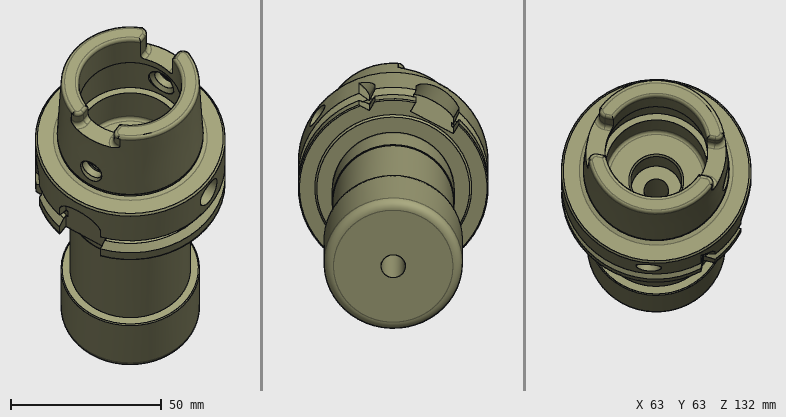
import cadquery as cq
import math

total_height = 132.0
nut_height = 25.0
neck_bottom_z = 61.0
boss_bottom_z = 73.4
flange_bottom_z = 74.0
gripper_bottom_z = 78.4
gripper_top_z = 85.3
flange_top_z = 100.0
taper_bottom_z = 101.6

nut_radius = 23.0
shank_radius = 40.0 / 2
neck_radius = 40.5 / 2
boss_radius = 26.0
flange_radius = 63.0 / 2
gripper_flank_radius = 28.9
gripper_floor_radius = 55.0 / 2
relief_radius = 24.0
relief_groove_radius = 25.5
taper_large_radius = 48.5 / 2
taper_small_radius = 45.8 / 2
through_radius = 8.0 / 2

step_chamfer = neck_radius - shank_radius
neck_top_chamfer = 1.2
boss_chamfer = 0.7
flange_top_chamfer = 0.7
flange_bottom_chamfer = 0.4
gripper_flank_height = 1.7
gripper_corner_height = 0.3
relief_chamfer = 0.4
relief_foot_height = 0.4
nut_top_chamfer = 0.4
nut_bottom_fillet = 3.2
rim_fillet = 1.2

cavity_radius = 17.0
cavity_floor_z = 87.1
cavity_floor_fillet = 1.2
clamp_groove_radius = 38.4 / 2
clamp_groove_top_z = 119.0
clamp_groove_bottom_z = 101.6
clamp_face_angle = 60.0
tube_bore_radius = 8.5
tube_bore_depth = 13.2
tube_bore_chamfer = 0.7

notch_width = 12.5
front_notch_depth = 6.1
back_notch_depth = 10.0
notch_corner_radius = 2.4
notch_floor_fillet = 1.6

cross_hole_diameter = 7.5
cross_hole_sink_diameter = 9.1
cross_hole_inner_diameter = 10.0
cross_hole_z = 109.0

keyway_width = 16.2
keyway_arc_radius = 8.5
keyway_top_z = 95.0
keyway_floor_y = 26.5
corner_notch_top_z = 96.1
corner_notch_wall = 20.2
side_hole_z = 93.0
side_hole_angle = 187.3
side_hole_diameter = 8.5
side_hole_depth = 6.0
carrier_hole_diameter = 10.0
carrier_hole_depth = 4.6

corner_x = notch_width / 2 + notch_corner_radius
corner_y = math.sqrt((taper_small_radius - notch_corner_radius) ** 2 - corner_x ** 2)


def turned_holder():
    """Shank, neck, flange and hollow taper, with the rim of the taper rounded."""
    lower_flank_z = gripper_bottom_z + gripper_flank_height
    upper_flank_z = gripper_top_z - gripper_flank_height
    points = [
        (0, nut_height),
        (shank_radius, nut_height),
        (shank_radius, neck_bottom_z - step_chamfer),
        (neck_radius, neck_bottom_z),
        (neck_radius, boss_bottom_z - neck_top_chamfer),
        (shank_radius, boss_bottom_z),
        (boss_radius - boss_chamfer, boss_bottom_z),
        (boss_radius, flange_bottom_z),
        (flange_radius - flange_bottom_chamfer, flange_bottom_z),
        (flange_radius, flange_bottom_z + flange_bottom_chamfer),
        (flange_radius, gripper_bottom_z),
        (gripper_flank_radius, lower_flank_z),
        (gripper_floor_radius, lower_flank_z + gripper_corner_height),
        (gripper_floor_radius, upper_flank_z - gripper_corner_height),
        (gripper_flank_radius, upper_flank_z),
        (flange_radius, gripper_top_z),
        (flange_radius, flange_top_z - flange_top_chamfer),
        (flange_radius - flange_top_chamfer, flange_top_z),
        (relief_groove_radius, flange_top_z),
        (relief_radius, flange_top_z + relief_foot_height),
        (relief_radius, taper_bottom_z - relief_chamfer),
        (taper_large_radius, taper_bottom_z),
        (taper_small_radius, total_height),
        (0, total_height),
    ]
    blank = cq.Workplane("XZ").polyline(points).close().revolve(360, (0, 0), (0, 1))
    cavity = cq.Workplane("XY", origin=(0, 0, cavity_floor_z)).circle(cavity_radius)
    cavity = cavity.extrude(total_height - cavity_floor_z)
    cavity = cavity.faces("<Z").edges().fillet(cavity_floor_fillet)
    return blank.cut(cavity).faces(">Z").edges().fillet(rim_fillet)


def clamp_groove():
    """Groove inside the cavity, with a conical clamping face at its top."""
    face_height = (clamp_groove_radius - cavity_radius) / math.tan(math.radians(clamp_face_angle))
    points = [
        (0, clamp_groove_bottom_z),
        (clamp_groove_radius, clamp_groove_bottom_z),
        (clamp_groove_radius, clamp_groove_top_z - face_height),
        (cavity_radius, clamp_groove_top_z),
        (0, clamp_groove_top_z),
    ]
    return cq.Workplane("XZ").polyline(points).close().revolve(360, (0, 0), (0, 1))


def tube_bore():
    """Chamfered counterbore in the cavity floor."""
    mouth_radius = tube_bore_radius + tube_bore_chamfer
    points = [
        (0, cavity_floor_z),
        (mouth_radius, cavity_floor_z),
        (tube_bore_radius, cavity_floor_z - tube_bore_chamfer),
        (tube_bore_radius, cavity_floor_z - tube_bore_depth),
        (0, cavity_floor_z - tube_bore_depth),
    ]
    return cq.Workplane("XZ").polyline(points).close().revolve(360, (0, 0), (0, 1))


def through_hole():
    return cq.Workplane("XY").circle(through_radius).extrude(total_height)


def notch_plan(floor_z):
    """Plan of the +Y notch at a height; its mouth flares out along the rounded corners."""
    half = notch_width / 2
    tangent_angle = math.atan2(corner_y, corner_x)
    middle_angle = (math.pi + tangent_angle) / 2
    middle_x = corner_x + notch_corner_radius * math.cos(middle_angle)
    middle_y = corner_y + notch_corner_radius * math.sin(middle_angle)
    tangent_x = corner_x + notch_corner_radius * math.cos(tangent_angle)
    tangent_y = corner_y + notch_corner_radius * math.sin(tangent_angle)
    return (
        cq.Workplane("XY", origin=(0, 0, floor_z))
        .moveTo(-half, 0)
        .lineTo(half, 0)
        .lineTo(half, corner_y)
        .threePointArc((middle_x, middle_y), (tangent_x, tangent_y))
        .lineTo(tangent_x, flange_radius)
        .lineTo(-tangent_x, flange_radius)
        .lineTo(-tangent_x, tangent_y)
        .threePointArc((-middle_x, middle_y), (-half, corner_y))
        .close()
    )


def drive_notch(depth):
    """Notch cutter on the +Y side, with a rounded floor and rounded top edges."""
    cutter = notch_plan(total_height - depth).extrude(depth)
    cutter = cutter.faces("<Z").edges().fillet(notch_floor_fillet)
    plate_bottom = total_height - 2 * rim_fillet
    plate = cq.Workplane("XY", origin=(0, 0, plate_bottom))
    plate = plate.rect(4 * flange_radius, 4 * flange_radius).extrude(2 * rim_fillet)
    slotted = plate.cut(notch_plan(plate_bottom).extrude(2 * rim_fillet))
    walls = cq.selectors.BoxSelector(
        (-notch_width, corner_y / 4, total_height - rim_fillet),
        (notch_width, flange_radius - 1.3, total_height + rim_fillet),
    )
    rounded = slotted.edges(walls).fillet(rim_fillet)
    return cutter.union(plate.cut(rounded))


def cross_hole():
    """Hole along Y through both taper walls, countersunk at both ends."""
    wall_radius = taper_large_radius + (taper_small_radius - taper_large_radius) * (
        (cross_hole_z - taper_bottom_z) / (total_height - taper_bottom_z)
    )
    hole_radius = cross_hole_diameter / 2
    sink = cross_hole_sink_diameter / 2 - hole_radius
    over = 1.3
    inner_radius = cross_hole_inner_diameter / 2
    half_profile = [
        (0, 0),
        (inner_radius, 0),
        (inner_radius, clamp_groove_radius),
        (hole_radius, clamp_groove_radius + inner_radius - hole_radius),
        (hole_radius, wall_radius - sink),
        (hole_radius + sink + over, wall_radius + over),
        (0, wall_radius + over),
    ]
    half_cut = (
        cq.Workplane("XY", origin=(0, 0, cross_hole_z))
        .polyline(half_profile)
        .close()
        .revolve(360, (0, 0), (0, 1))
    )
    return half_cut.union(half_cut.rotate((0, 0, 0), (0, 0, 1), 180))


def keyway():
    """Round-topped driving slot with a flat floor on the -Y side of the flange."""
    half = keyway_width / 2
    arc_centre_z = keyway_top_z - keyway_arc_radius
    spring_z = arc_centre_z + math.sqrt(keyway_arc_radius ** 2 - half ** 2)
    return (
        cq.Workplane("XZ", origin=(0, -keyway_floor_y, 0))
        .moveTo(-half, boss_bottom_z)
        .lineTo(half, boss_bottom_z)
        .lineTo(half, spring_z)
        .threePointArc((0, keyway_top_z), (-half, spring_z))
        .close()
        .extrude(flange_radius)
    )


def corner_notch():
    """Round-topped slot of keyway size, cutting the (-X, -Y) corner of the flange."""
    radius = keyway_arc_radius
    centre_x = -corner_notch_wall - radius
    spring_z = corner_notch_top_z - radius
    return (
        cq.Workplane("XZ", origin=(0, -corner_notch_wall, 0))
        .moveTo(centre_x - radius, boss_bottom_z)
        .lineTo(centre_x + radius, boss_bottom_z)
        .lineTo(centre_x + radius, spring_z)
        .threePointArc((centre_x, spring_z + radius), (centre_x - radius, spring_z))
        .close()
        .extrude(flange_radius)
    )


def radial_hole(diameter, depth, angle):
    """Blind flat-bottomed hole drilled radially into the flange."""
    hole = (
        cq.Workplane("YZ", origin=(flange_radius - depth, 0, side_hole_z))
        .circle(diameter / 2)
        .extrude(2 * depth)
    )
    return hole.rotate((0, 0, 0), (0, 0, 1), angle)


def make_holder():
    half_turn = ((0, 0, 0), (0, 0, 1), 180)
    holder = turned_holder().cut(clamp_groove()).cut(drive_notch(back_notch_depth))
    holder = holder.cut(drive_notch(front_notch_depth).rotate(*half_turn))
    holder = holder.cut(tube_bore()).cut(through_hole()).cut(cross_hole())
    holder = holder.cut(keyway()).cut(keyway().rotate(*half_turn)).cut(corner_notch())
    holder = holder.cut(radial_hole(side_hole_diameter, side_hole_depth, side_hole_angle))
    return holder.cut(radial_hole(carrier_hole_diameter, carrier_hole_depth, 0))


def make_nut():
    """Clamping nut: round body below the shank with a central hole."""
    body = cq.Workplane("XY").circle(nut_radius).extrude(nut_height)
    body = body.faces(">Z").edges().chamfer(nut_top_chamfer)
    body = body.faces("<Z").edges().fillet(nut_bottom_fillet)
    return body.cut(through_hole())


holder = make_holder()
nut = make_nut()
result = cq.Compound.makeCompound([holder.val(), nut.val()])